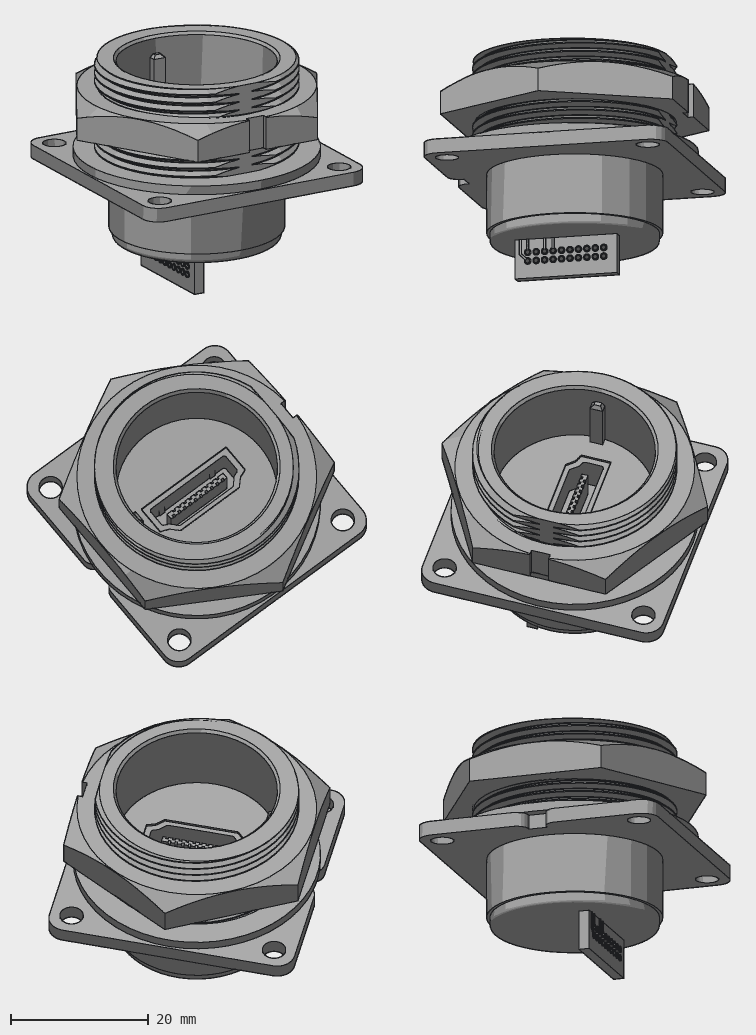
import cadquery as cq
import math

flange_side = 36.55
flange_thickness = 2.1
flange_corner_radius = 2.6
mount_hole_diameter = 3.4
mount_hole_offset = 15.1
notch_half_width = 1.37
notch_lip_radius = 1.85
notch_depth = 2.0

collar_radius = 17.95
collar_thickness = 1.35
collar_top = flange_thickness + collar_thickness

barrel_radius = 12.8
barrel_depth = 8.75
spigot_radius = 12.3
spigot_depth = 10.4
spigot_edge_radius = 0.6

thread_top = 16.95
thread_root_radius = 14.0
thread_crest_radius = 14.85
thread_pitch = 1.25
thread_crest_width = 0.15
thread_flank_angle = 30
thread_top_angle = 158
thread_flat_x = 13.95

bore_radius = 11.7
bore_mouth_chamfer = 0.4
bore_floor = 6.17

key_width = 1.95
key_tip_x = -10.55
key_chamfer = 0.5
key_height = 8.05

socket_half_width = 7.82
socket_top = 3.05
socket_bottom = -3.05
socket_recess = 0.32
cavity_half_width = 6.95
cavity_top = 2.3
cavity_bottom = -2.35
cavity_depth = 4.85
cavity_corner_radius = 0.4

tongue_half_width = 5.15
tongue_top = 0.4
tongue_bottom = -0.52
tongue_setback = 0.6
contact_pitch = 1.0
contact_width = 0.35
contact_bevel = 0.32
upper_contacts = 9
lower_contacts = 10
spring_width = 1.0
spring_center_x = 4.65
spring_bulge = 0.15
spring_length = 1.6

board_width = 15.33
board_thickness = 1.57
board_front_y = -4.9
board_bottom = -16.2
copper_thickness = 0.15
pad_pitch = 1.27
pad_columns = 10
pad_rows_z = (-12.4, -13.67)
pad_radius = 0.5
pad_hole_radius = 0.32
trace_width = 0.32
straight_trace_columns = (0, 2, 3)
bent_trace_x = -6.8
bent_trace_bend_z = -12.6

nut_across_corners = 40.35
nut_bottom = 7.82
nut_top = 12.8
nut_face_radius = 17.4
nut_chamfer_angle = 30
nut_bore_radius = 14.4
nut_notch_width = 2.82
nut_notch_floor_x = 16.65


def cylinder(radius, bottom, top):
    return cq.Workplane("XY").workplane(offset=bottom).circle(radius).extrude(top - bottom)


def block(x_min, x_max, y_min, y_max, z_min, z_max):
    size = (x_max - x_min, y_max - y_min, z_max - z_min)
    return cq.Workplane("XY").box(*size, centered=False).translate((x_min, y_min, z_min))


def thread_ridge():
    """Right-handed ridge, rooted slightly inside the core, whose crest meets the top plane at thread_top_angle."""
    overlap = 0.06
    inner_radius = thread_root_radius - overlap
    crest_half = thread_crest_width / 2
    slope = math.tan(math.radians(thread_flank_angle))
    base_half = crest_half + (thread_crest_radius - inner_radius) * slope
    turns = math.ceil((thread_top - collar_top) / thread_pitch) + 2
    helix_height = turns * thread_pitch
    start_z = thread_top + thread_pitch - helix_height
    profile = (
        cq.Workplane("XZ")
        .moveTo(inner_radius, -base_half)
        .lineTo(thread_crest_radius, -crest_half)
        .lineTo(thread_crest_radius, crest_half)
        .lineTo(inner_radius, base_half)
        .close()
    )
    helix = cq.Wire.makeHelix(thread_pitch, helix_height, inner_radius)
    ridge = profile.sweep(cq.Workplane(obj=helix), isFrenet=True)
    ridge = ridge.rotate((0, 0, 0), (0, 0, 1), thread_top_angle).translate((0, 0, start_z))
    return ridge.intersect(cylinder(nut_face_radius, collar_top, thread_top))


def flange():
    half = flange_side / 2
    plate = (
        cq.Workplane("XY")
        .rect(flange_side, flange_side)
        .extrude(flange_thickness)
        .edges("|Z")
        .fillet(flange_corner_radius)
    )
    holes = (
        cq.Workplane("XY")
        .rect(2 * mount_hole_offset, 2 * mount_hole_offset, forConstruction=True)
        .vertices()
        .circle(mount_hole_diameter / 2)
        .extrude(flange_thickness)
    )
    notch = block(-half, -half + notch_depth, -notch_half_width, notch_half_width, 0, flange_thickness)
    mouth_region = cq.selectors.BoxSelector(
        (-half - notch_lip_radius, -notch_lip_radius, 0),
        (-half + notch_lip_radius, notch_lip_radius, flange_thickness),
    )
    notched_plate = plate.cut(notch).edges("|Z").edges(mouth_region).edges("<X").fillet(notch_lip_radius)
    return notched_plate.cut(holes)


def lower_barrel():
    barrel = cylinder(barrel_radius, -barrel_depth, 0)
    spigot = cylinder(spigot_radius, -spigot_depth, -barrel_depth)
    return barrel.union(spigot.faces("<Z").edges().fillet(spigot_edge_radius))


def threaded_neck(ridge):
    outside = block(thread_flat_x, flange_side, -flange_side, flange_side, collar_top, thread_top)
    core = cylinder(thread_root_radius, collar_top, thread_top).cut(outside)
    return core.cut(bore()).union(ridge.cut(outside))


def bore():
    hole = cylinder(bore_radius, bore_floor, thread_top)
    mouth = cq.Solid.makeCone(
        bore_radius, bore_radius + bore_mouth_chamfer, bore_mouth_chamfer,
        pnt=cq.Vector(0, 0, thread_top - bore_mouth_chamfer),
    )
    return hole.union(cq.Workplane(obj=mouth))


def polarizing_key():
    top = bore_floor + key_height
    wall_x = -bore_radius - bore_mouth_chamfer
    key = block(wall_x, key_tip_x, -key_width / 2, key_width / 2, bore_floor, top)
    return key.faces(">Z").edges("not <X").chamfer(key_chamfer)


def socket_outline(half_width, top, bottom, shoulder_y, knee, bottom_half_width):
    right = [
        (half_width, top),
        (half_width, shoulder_y),
        knee,
        (bottom_half_width, bottom),
    ]
    left = [(-x, y) for x, y in reversed(right)]
    return cq.Workplane("XY").polyline(right + left).close()


def socket_opening():
    face_z = bore_floor - socket_recess
    recess = socket_outline(
        socket_half_width, socket_top, socket_bottom, -1.4, (6.57, -1.9), 5.45
    ).extrude(socket_recess).translate((0, 0, face_z))
    cavity = (
        socket_outline(cavity_half_width, cavity_top, cavity_bottom, -0.75, (5.95, -1.15), 4.92)
        .extrude(cavity_depth)
        .edges("|Z")
        .fillet(cavity_corner_radius)
        .translate((0, 0, face_z - cavity_depth))
    )
    return recess.union(cavity)


def bevel_wedge(center_x, width, face_y, side, top, depth):
    """Triangular prism whose sharp corner lies on the edge at (face_y, top)."""
    return (
        cq.Workplane("YZ")
        .polyline([(face_y, top), (face_y - side * depth, top), (face_y, top - depth)])
        .close()
        .extrude(width / 2, both=True)
        .translate((center_x, 0, 0))
    )


def tongue():
    floor = bore_floor - socket_recess - cavity_depth
    top = bore_floor - socket_recess - tongue_setback
    body = block(-tongue_half_width, tongue_half_width, tongue_bottom, tongue_top, floor, top)
    for count, face_y, side in ((upper_contacts, tongue_top, 1), (lower_contacts, tongue_bottom, -1)):
        for index in range(count):
            x = (index - (count - 1) / 2) * contact_pitch
            body = body.cut(bevel_wedge(x, contact_width, face_y, side, top, contact_bevel))
    return body


def shell_spring(center_x):
    """Leaf on the upper cavity wall that leans inwards towards the cavity floor."""
    floor = bore_floor - socket_recess - cavity_depth
    return (
        cq.Workplane("YZ", origin=(center_x, 0, 0))
        .moveTo(cavity_top, floor)
        .lineTo(cavity_top, floor + spring_length)
        .lineTo(cavity_top - spring_bulge, floor)
        .close()
        .extrude(spring_width / 2, both=True)
    )


def pad_x(column):
    return (column - (pad_columns - 1) / 2) * pad_pitch


def on_board_front():
    """Sketch plane on the copper's outer face, extruding towards +Y."""
    return cq.Workplane("XZ", origin=(0, board_front_y - copper_thickness, 0))


def circuit_board():
    back_y = board_front_y + board_thickness
    half = board_width / 2
    board = block(-half, half, board_front_y, back_y, board_bottom, -spigot_depth)
    upper_row, lower_row = pad_rows_z
    centers = [(pad_x(column), z) for column in range(pad_columns) for z in pad_rows_z]

    pads = on_board_front().pushPoints(centers).circle(pad_radius).extrude(-copper_thickness)
    board = board.union(pads)

    for column in straight_trace_columns:
        x = pad_x(column)
        board = board.union(
            block(x - trace_width / 2, x + trace_width / 2, board_front_y - copper_thickness,
                  board_front_y, upper_row, -spigot_depth)
        )
    board = board.union(bent_trace(pad_x(0), lower_row))

    holes = (
        on_board_front()
        .pushPoints(centers)
        .circle(pad_hole_radius)
        .extrude(-copper_thickness - board_thickness)
    )
    return board.cut(holes)


def bent_trace(end_x, end_z):
    """Trace that drops straight, then slants into the first pad of the lower row."""
    slant = math.atan2(bent_trace_bend_z - end_z, end_x - bent_trace_x)
    miter = trace_width / 2 * math.tan(math.pi / 4 - slant / 2)
    half = trace_width / 2
    across_x = half * math.sin(slant)
    across_z = half * math.cos(slant)
    return (
        on_board_front()
        .polyline([
            (bent_trace_x - half, -spigot_depth),
            (bent_trace_x - half, bent_trace_bend_z - miter),
            (end_x - across_x, end_z - across_z),
            (end_x + across_x, end_z + across_z),
            (bent_trace_x + half, bent_trace_bend_z + miter),
            (bent_trace_x + half, -spigot_depth),
        ])
        .close()
        .extrude(-copper_thickness)
    )


def build_housing(ridge):
    body = flange().union(cylinder(collar_radius, flange_thickness, collar_top)).union(lower_barrel())
    body = body.union(threaded_neck(ridge)).union(polarizing_key())
    body = body.cut(socket_opening()).union(tongue())
    for side in (-1, 1):
        body = body.union(shell_spring(side * spring_center_x))
    return body.union(circuit_board())


def tapped_hole(ridge):
    threads = ridge.intersect(cylinder(nut_face_radius, nut_bottom, nut_top))
    return cylinder(nut_bore_radius, nut_bottom, nut_top).union(threads)


def build_nut(ridge):
    corner_radius = nut_across_corners / 2
    hexagon = (
        cq.Workplane("XY")
        .workplane(offset=nut_bottom)
        .polygon(6, nut_across_corners)
        .extrude(nut_top - nut_bottom)
        .rotate((0, 0, 0), (0, 0, 1), 30)
    )
    chamfer_drop = (corner_radius - nut_face_radius) * math.tan(math.radians(nut_chamfer_angle))
    chamfered_disc = (
        cq.Workplane("XZ")
        .moveTo(0, nut_bottom)
        .lineTo(corner_radius, nut_bottom)
        .lineTo(corner_radius, nut_top - chamfer_drop)
        .lineTo(nut_face_radius, nut_top)
        .lineTo(0, nut_top)
        .close()
        .revolve(360, (0, 0, 0), (0, 1, 0))
    )
    half_notch = nut_notch_width / 2
    notch = block(nut_notch_floor_x, corner_radius, -half_notch, half_notch, nut_bottom, nut_top)
    return hexagon.intersect(chamfered_disc).cut(notch).cut(tapped_hole(ridge))


thread = thread_ridge()
housing = build_housing(thread)
nut = build_nut(thread)
result = cq.Compound.makeCompound([housing.solids().val(), nut.solids().val()])